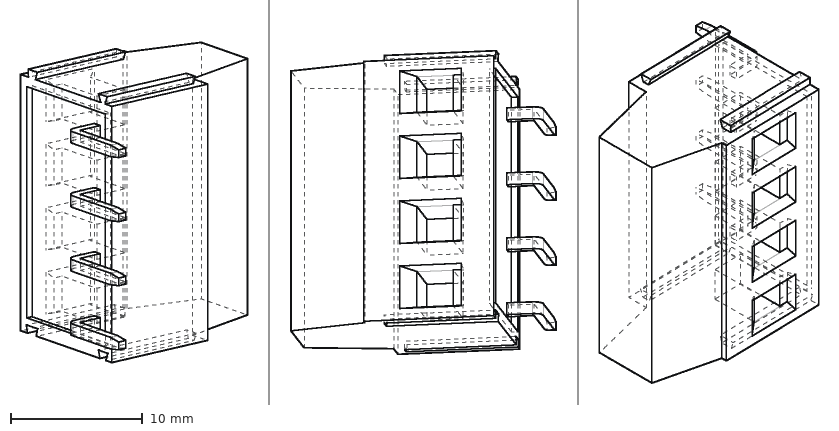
import cadquery as cq
import math


way_count = 4
total_height = 20.92
total_depth = 18.2
rib_height = 0.63
body_height = total_height - rib_height
pitch = body_height / way_count
body_width = 11.0
body_depth = 16.02
left_shoulder_y = 10.05
right_shoulder_y = 9.4
neck_left_x = 0.48
neck_right_x = 9.16
crown_left_x = 2.05
crown_right_x = 7.65

recess_depth = 0.5
recess_wall = 0.8
recess_lower_wall = 1.2

rail_length = 8.62
ribs = [
    ((0.95, 1.82), (0.95, 2.05)),
    ((9.67, 10.2), (9.4, 10.44)),
]
grooves = [
    ((0.88, 1.9), (0.71, 2.07)),
    ((9.58, 10.27), (9.4, 10.52)),
]

entry_height = 3.33
entry_y_min = 2.5
entry_y_max = 7.25
funnel_depth = 0.92
channel_size = 2.78
channel_y_max = 6.09
channel_depth = 4.18

pin_width = 0.92
pin_thickness = 0.71
pin_left_x = 8.28
pin_end_x = 14.5
pin_drop = total_depth - body_depth
pin_tip_width = 0.6
pin_tip_length = 0.98

way_heights = [(way + 0.5) * pitch for way in range(way_count)]


def make_housing():
    """Block that narrows to a tapered crown away from the pin face."""
    return (
        cq.Workplane("XY")
        .polyline([
            (0, 0),
            (body_width, 0),
            (body_width, right_shoulder_y),
            (neck_right_x, right_shoulder_y),
            (crown_right_x, body_depth),
            (crown_left_x, body_depth),
            (neck_left_x, left_shoulder_y),
            (0, left_shoulder_y),
        ])
        .close()
        .extrude(body_height)
    )


def make_recess():
    width = body_width - 2 * recess_wall
    height = body_height - recess_wall - recess_lower_wall
    return cq.Workplane("XY").box(width, recess_depth, height, centered=False).translate(
        (recess_wall, 0, recess_lower_wall)
    )


def make_rail(lower_span, upper_span, base_z):
    """Dovetail bar along +Y from the pin face, given by its X limits at the bottom and the top."""
    lower_left, lower_right = lower_span
    upper_left, upper_right = upper_span
    return (
        cq.Workplane("XZ")
        .polyline([
            (lower_left, base_z),
            (lower_right, base_z),
            (upper_right, base_z + rib_height),
            (upper_left, base_z + rib_height),
        ])
        .close()
        .extrude(-rail_length)
    )


def make_wire_entry(center_z):
    """Funnel tapered on three sides, ending in a ledge around a blind square channel."""
    entry_length = entry_y_max - entry_y_min
    throat_length = channel_y_max - entry_y_min
    funnel = (
        cq.Workplane("YZ")
        .center((entry_y_min + entry_y_max) / 2, center_z)
        .rect(entry_length, entry_height)
        .workplane(offset=funnel_depth)
        .center((throat_length - entry_length) / 2, 0)
        .rect(throat_length, channel_size)
        .loft(ruled=True)
    )
    channel = (
        cq.Workplane("YZ")
        .center(channel_y_max - channel_size / 2, center_z)
        .rect(channel_size, channel_size)
        .extrude(funnel_depth + channel_depth)
    )
    return funnel.union(channel)


def make_pin(center_z):
    """Right-angle pin: sharp inside corner, rounded outside corner, tapered tip."""
    inner_x = pin_left_x + pin_thickness
    inner_y = pin_thickness - pin_drop
    bend_reach = pin_thickness * math.sqrt(0.5)
    side_profile = (
        cq.Workplane("XY")
        .workplane(offset=center_z - pin_width / 2)
        .moveTo(pin_left_x, recess_depth)
        .lineTo(pin_left_x, inner_y)
        .threePointArc((inner_x - bend_reach, inner_y - bend_reach), (inner_x, -pin_drop))
        .lineTo(pin_end_x, -pin_drop)
        .lineTo(pin_end_x, inner_y)
        .lineTo(inner_x, inner_y)
        .lineTo(inner_x, recess_depth)
        .close()
        .extrude(pin_width)
    )
    tip_start_x = pin_end_x - pin_tip_length
    front_profile = (
        cq.Workplane("XZ", origin=(0, recess_depth, center_z))
        .polyline([
            (pin_left_x, -pin_width / 2),
            (tip_start_x, -pin_width / 2),
            (pin_end_x, -pin_tip_width / 2),
            (pin_end_x, pin_tip_width / 2),
            (tip_start_x, pin_width / 2),
            (pin_left_x, pin_width / 2),
        ])
        .close()
        .extrude(recess_depth + pin_drop)
    )
    return side_profile.intersect(front_profile)


result = make_housing().cut(make_recess())

for base_span, top_span in ribs:
    result = result.union(make_rail(base_span, top_span, body_height))

for mouth_span, floor_span in grooves:
    result = result.cut(make_rail(mouth_span, floor_span, 0))

for height in way_heights:
    result = result.cut(make_wire_entry(height))
    result = result.union(make_pin(height))